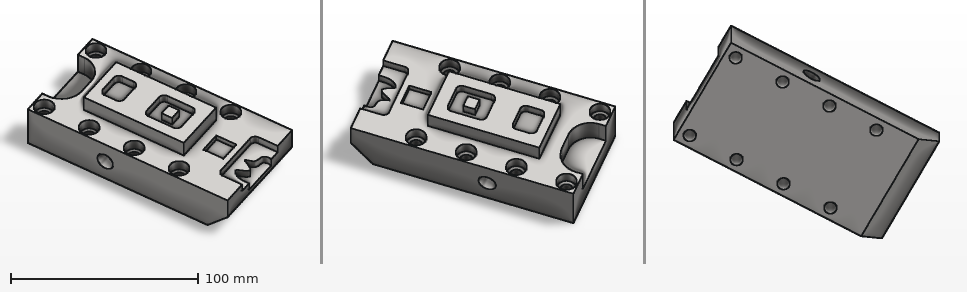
import cadquery as cq

INCH = 25.4

length = 5.0 * INCH
width = 2.5 * INCH
base_height = 1.0 * INCH
end_chamfer = 0.5 * INCH

pad_start = 1.0 * INCH
pad_length = 2.5 * INCH
pad_width = 1.25 * INCH
pad_height = 0.375 * INCH
pad_top = base_height + pad_height

bolt_inset = 0.25 * INCH
bolt_spacing = 1.125 * INCH
bolts_per_side = 4
bolt_diameter = 6.7
counterbore_diameter = 0.4375 * INCH
counterbore_depth = 0.25 * INCH

cross_hole_x = 49.2
cross_hole_z = base_height / 2
cross_hole_diameter = 9.9

end_pocket_width = 1.375 * INCH
left_pocket_length = 16.7
left_pocket_depth = 0.5 * INCH
left_pocket_radius = 0.5 * INCH
right_pocket_length = 15.4
right_pocket_depth = 0.1875 * INCH
right_pocket_radius = 0.125 * INCH
wavy_recess_depth = 0.1875 * INCH

square_pocket_x = 4.0 * INCH
square_pocket_side = 0.5 * INCH
square_pocket_depth = 0.125 * INCH

pad_pocket_depth = 5.0
small_pocket_x = 37.5
small_pocket_length = 13.6
small_pocket_width = 17.0
large_pocket_x = 70.1
large_pocket_length = 22.1
large_pocket_width = 18.4
pad_pocket_radius = 0.125 * INCH
post_length = 6.7
post_width = 6.9

wave_points = [
    (0, 11.1),
    (2.6, 11.4),
    (4.8, 10.4),
    (5.6, 7.5),
    (7.5, 4.6),
    (11.4, 3.2),
    (7.4, 0.5),
    (5.1, -1.8),
    (7.4, -3.9),
    (11.4, -6.5),
    (9.9, -8.4),
    (5.5, -10.4),
    (0, -10.6),
]


def box_below(x_start, x_length, y_width, top, depth):
    """Box centred on Y = 0 that reaches down from the height top."""
    return (
        cq.Workplane("XY")
        .box(x_length, y_width, depth, centered=(False, True, False))
        .translate((x_start, 0, top - depth))
    )


def make_base():
    outline = [
        (0, 0),
        (length - end_chamfer, 0),
        (length, end_chamfer),
        (length, base_height),
        (0, base_height),
    ]
    return cq.Workplane("XZ").polyline(outline).close().extrude(width / 2, both=True)


def make_pad():
    return box_below(pad_start, pad_length, pad_width, pad_top, pad_height)


def cut_bolt_holes(body):
    side_y = width / 2 - bolt_inset
    centers = [
        (bolt_inset + i * bolt_spacing, y)
        for i in range(bolts_per_side)
        for y in (-side_y, side_y)
    ]
    return (
        body.copyWorkplane(cq.Workplane("XY", origin=(0, 0, base_height)))
        .pushPoints(centers)
        .cboreHole(bolt_diameter, counterbore_diameter, counterbore_depth)
    )


def make_cross_hole():
    return (
        cq.Workplane("XZ")
        .center(cross_hole_x, cross_hole_z)
        .circle(cross_hole_diameter / 2)
        .extrude(width / 2, both=True)
    )


def make_left_pocket():
    pocket = box_below(0, left_pocket_length, end_pocket_width, base_height, left_pocket_depth)
    return pocket.edges("|Z and >X").fillet(left_pocket_radius)


def make_right_pocket():
    pocket = box_below(
        length - right_pocket_length,
        right_pocket_length,
        end_pocket_width,
        base_height,
        right_pocket_depth,
    )
    return pocket.edges("|Z and <X").fillet(right_pocket_radius)


def make_wavy_recess():
    recess_top = base_height - right_pocket_depth
    edge_points = [(length - distance, y) for distance, y in wave_points]
    return (
        cq.Workplane("XY", origin=(0, 0, recess_top))
        .moveTo(*edge_points[0])
        .spline(edge_points[1:], includeCurrent=True)
        .close()
        .extrude(-wavy_recess_depth)
    )


def make_square_pocket():
    return box_below(
        square_pocket_x - square_pocket_side / 2,
        square_pocket_side,
        square_pocket_side,
        base_height,
        square_pocket_depth,
    )


def make_pad_pocket(center_x, pocket_length, pocket_width):
    start = center_x - pocket_length / 2
    pocket = box_below(start, pocket_length, pocket_width, pad_top, pad_pocket_depth)
    return pocket.edges("|Z").fillet(pad_pocket_radius)


def make_post():
    return box_below(large_pocket_x - post_length / 2, post_length, post_width, pad_top, pad_pocket_depth)


result = make_base()
result = cut_bolt_holes(result)
result = result.union(make_pad())
result = result.cut(make_cross_hole())
result = result.cut(make_left_pocket())
result = result.cut(make_right_pocket())
result = result.cut(make_wavy_recess())
result = result.cut(make_square_pocket())
result = result.cut(make_pad_pocket(small_pocket_x, small_pocket_length, small_pocket_width))
large_pocket = make_pad_pocket(large_pocket_x, large_pocket_length, large_pocket_width)
result = result.cut(large_pocket.cut(make_post()))